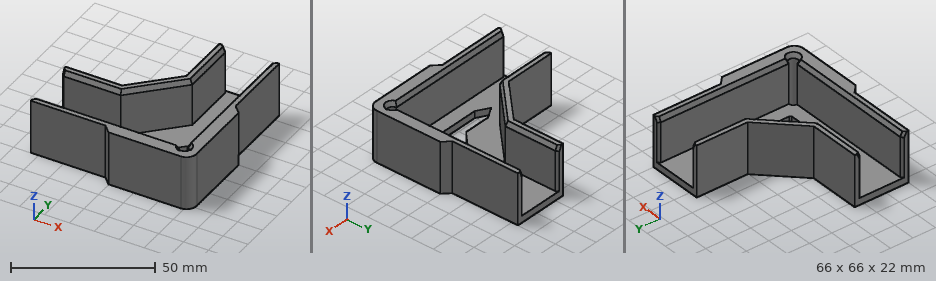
import cadquery as cq
import math


arm_length = 66.0
height = 22.0
arm_width = 24.0
channel_width = 18.0
wall = (arm_width - channel_width) / 2
floor = wall

pad_thickness = wall
pad_length = 33.0
corner_radius = 4.0

channel_outer = pad_thickness + wall
channel_inner = channel_outer + channel_width
channel_diagonal_sum = 66.1

bevel_width = 1.0
bevel_height = 2.0
end_chamfer = bevel_width

hole_diameter = 4.0
hole_flare_diameter = hole_diameter + 2 * bevel_width

window_width = channel_width / 3
window_tip = 48.0
window_tip_angle = 60.0
window_diagonal_gap = 12.0
window_corner_chamfer = 0.6

overcut = 0.65


def shift_diagonal(diagonal_sum, offset):
    """Move a 45 degree line by a perpendicular offset, away from the outer corner."""
    return diagonal_sum + offset * math.sqrt(2)


def symmetric_outline(half_points):
    """Points of a full outline from (along, across) points of the -X arm."""
    x_arm = [(-along, across) for along, across in half_points]
    y_arm = [(-across, along) for along, across in reversed(half_points)]
    return x_arm + y_arm


def make_block():
    outer_diagonal_sum = shift_diagonal(channel_diagonal_sum, wall)
    inside = pad_thickness + arm_width
    half = [
        (corner_radius, 0),
        (pad_length, 0),
        (pad_length + pad_thickness, pad_thickness),
        (arm_length, pad_thickness),
        (arm_length, inside),
        (outer_diagonal_sum - inside, inside),
    ]
    arc_middle = corner_radius * (1 - math.sqrt(0.5))
    return (
        cq.Workplane("XY")
        .polyline(symmetric_outline(half))
        .threePointArc((-arc_middle, arc_middle), (-corner_radius, 0))
        .close()
        .extrude(height)
    )


def channel_outline(widening):
    """Channel outline with every side wall pushed back by the widening."""
    outer = channel_outer - widening
    inner = channel_inner + widening
    diagonal_sum = shift_diagonal(channel_diagonal_sum, widening)
    end = arm_length + overcut
    half = [(end, outer), (end, inner), (diagonal_sum - inner, inner)]
    return symmetric_outline(half) + [(-outer, outer)]


def make_channel():
    shoulder = height - bevel_height
    straight = (
        cq.Workplane("XY", origin=(0, 0, floor))
        .polyline(channel_outline(0))
        .close()
        .extrude(shoulder - floor)
    )
    bevel = (
        cq.Workplane("XY", origin=(0, 0, shoulder))
        .polyline(channel_outline(0))
        .close()
        .workplane(offset=bevel_height)
        .polyline(channel_outline(bevel_width))
        .close()
        .loft(ruled=True, combine=True)
    )
    return straight.union(bevel)


def chamfer_channel_ends(body):
    """Chamfer the upright and sloping channel edges where each arm ends."""
    for side in (channel_outer, channel_inner):
        near = side - bevel_width
        far = side + bevel_width
        low_x = (-arm_length - overcut, near, floor + overcut)
        high_x = (-arm_length + overcut, far, height)
        body = body.edges(cq.selectors.BoxSelector(low_x, high_x)).chamfer(end_chamfer)
        low_y = (-far, arm_length - overcut, floor + overcut)
        high_y = (-near, arm_length + overcut, height)
        body = body.edges(cq.selectors.BoxSelector(low_y, high_y)).chamfer(end_chamfer)
    return body


def make_corner_hole():
    center = (-channel_outer, channel_outer)
    shaft = cq.Workplane("XY").center(*center).circle(hole_diameter / 2).extrude(height)
    flare = (
        cq.Workplane("XY", origin=(0, 0, height - bevel_height))
        .center(*center)
        .circle(hole_diameter / 2)
        .workplane(offset=bevel_height)
        .circle(hole_flare_diameter / 2)
        .loft(combine=True)
    )
    return shaft.union(flare)


def make_window():
    middle = (channel_outer + channel_inner) / 2
    near = middle - window_width / 2
    far = middle + window_width / 2
    tip_length = window_width / 2 / math.tan(math.radians(window_tip_angle / 2))
    diagonal_sum = shift_diagonal(channel_diagonal_sum, -window_diagonal_gap)
    half = [
        (near + window_corner_chamfer, near),
        (window_tip - tip_length, near),
        (window_tip, middle),
        (window_tip - tip_length, far),
        (diagonal_sum - far, far),
    ]
    return cq.Workplane("XY").polyline(symmetric_outline(half)).close().extrude(floor)


bracket = chamfer_channel_ends(make_block().cut(make_channel()))
result = bracket.cut(make_corner_hole()).cut(make_window())